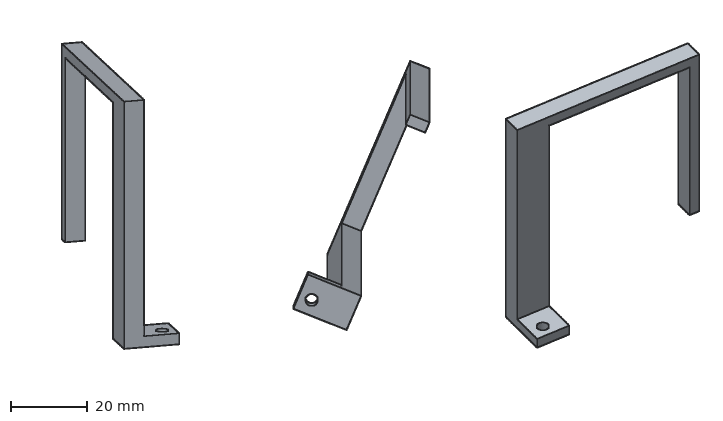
import cadquery as cq

width = 56.5
height = 67.0
frame_depth = 5.5
bar_thickness = 3.0

short_leg_length = 53.0
long_leg_width = 10.0

foot_depth = 15.0
foot_thickness = 3.0
hole_diameter = 3.2
hole_from_side = 4.0
hole_from_back = 3.5

long_leg_left = width - long_leg_width


def corner_box(x_size, y_size, z_size, x=0, z=0):
    """Box with its left, front, bottom corner at (x, 0, z)."""
    return cq.Workplane("XY").box(x_size, y_size, z_size, centered=False).translate((x, 0, z))


top_bar = corner_box(width, frame_depth, bar_thickness, z=height - bar_thickness)
short_leg = corner_box(bar_thickness, frame_depth, short_leg_length, z=height - short_leg_length)
long_leg = corner_box(long_leg_width, frame_depth, height, x=long_leg_left)
foot = corner_box(long_leg_width, foot_depth, foot_thickness, x=long_leg_left)

screw_hole = (
    cq.Workplane("XY")
    .center(width - hole_from_side, foot_depth - hole_from_back)
    .circle(hole_diameter / 2)
    .extrude(foot_thickness)
)

result = top_bar.union(short_leg).union(long_leg).union(foot).cut(screw_hole)